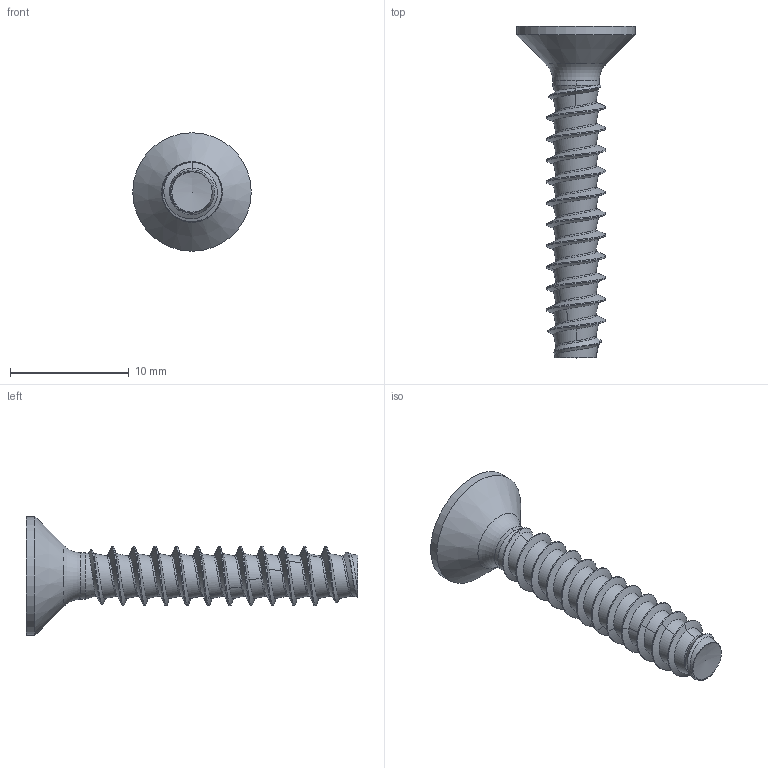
import cadquery as cq
import math


length = 28.0
head_radius = 5.0
rim_thickness = 0.75
neck_radius = 1.97
neck_fillet_radius = 2.0
head_half_angle = math.radians(45)
neck_end_depth = 5.0

core_radius = 1.70
neck_taper_length = 0.9
tip_dish_depth = 0.15

pitch = 1.8
crest_radius = 2.5
first_crest_radius = 1.9
last_crest_radius = 1.74
root_radius = 1.9
root_fade_ratio = 2.0
crest_width = 0.10
head_flank_offset = 0.40
tip_flank_offset = 0.25
root_end_offset = 1.25
buried_radius = 1.3
buried_extension = 0.05

full_end_depth = 25.29

run_in_turns = 1.5
full_turns = 10.25
run_out_turns = 1.58
steps_per_piece = 10


def head_and_core():
    """Turned body: head rim, cone, filleted neck, taper and cylindrical core."""
    fillet_start_radius = neck_radius + neck_fillet_radius * (1 - math.cos(head_half_angle))
    cone_length = (head_radius - fillet_start_radius) / math.tan(head_half_angle)
    fillet_start_depth = rim_thickness + cone_length
    fillet_end_depth = fillet_start_depth + neck_fillet_radius * math.sin(head_half_angle)
    half_arc_angle = head_half_angle / 2
    fillet_middle = (
        neck_radius + neck_fillet_radius * (1 - math.cos(half_arc_angle)),
        -(fillet_end_depth - neck_fillet_radius * math.sin(half_arc_angle)),
    )
    outline = (
        cq.Workplane("ZY")
        .lineTo(head_radius, 0)
        .lineTo(head_radius, -rim_thickness)
        .lineTo(fillet_start_radius, -fillet_start_depth)
        .threePointArc(fillet_middle, (neck_radius, -fillet_end_depth))
        .lineTo(neck_radius, -neck_end_depth)
        .lineTo(core_radius, -(neck_end_depth + neck_taper_length))
        .lineTo(core_radius, -length)
        .lineTo(0, -length)
        .close()
    )
    return outline.revolve(360, (0, 0, 0), (0, 1, 0))


def thread_profile(crest):
    """Axial section of the thread as (offset toward the tip, radius) for a crest radius."""
    height_fraction = (crest - core_radius) / (crest_radius - core_radius)
    root_fraction = min(1, root_fade_ratio * height_fraction)
    root = core_radius + (root_radius - core_radius) * root_fraction
    half_crest = crest_width * height_fraction / 2
    flank_slope = (crest - core_radius) / (head_flank_offset - half_crest)
    root_slope = (root - core_radius) / (root_end_offset - tip_flank_offset)
    head_end = -head_flank_offset - buried_extension
    tip_end = root_end_offset + buried_extension
    return [
        (head_end, buried_radius),
        (head_end, core_radius - buried_extension * flank_slope),
        (-half_crest, crest),
        (half_crest, crest),
        (tip_flank_offset, root),
        (tip_end, core_radius - buried_extension * root_slope),
        (tip_end, buried_radius),
    ]


def thread_section(depth, crest):
    """Profile placed in space, turned by the right-hand helix to its crest depth."""
    angle = 2 * math.pi * (depth - full_end_depth) / pitch
    return [
        cq.Vector(-radius * math.sin(angle), -(depth + offset), radius * math.cos(angle))
        for offset, radius in thread_profile(crest)
    ]


def thread_piece(start_depth, turns, start_crest, end_crest):
    """Solid length of thread whose crest radius changes evenly from start to end."""
    sections = []
    for step in range(steps_per_piece + 1):
        progress = step / steps_per_piece
        depth = start_depth + turns * pitch * progress
        crest = start_crest + (end_crest - start_crest) * progress
        sections.append(thread_section(depth, crest))

    helices = [cq.Edge.makeSpline(list(path)) for path in zip(*sections)]
    next_helices = helices[1:] + helices[:1]
    faces = [cq.Face.makeRuledSurface(a, b) for a, b in zip(helices, next_helices)]
    for end_section in (sections[0], sections[-1]):
        faces.append(cq.Face.makeFromWires(cq.Wire.makePolygon(end_section, close=True)))
    return cq.Solid.makeSolid(cq.Shell.makeShell(faces))


def thread_stretch(start_depth, turns, start_crest, end_crest):
    """Equal thread pieces, each at most one turn long, that meet end to end."""
    piece_count = math.ceil(turns)
    piece_turns = turns / piece_count
    crest_step = (end_crest - start_crest) / piece_count
    pieces = []
    for index in range(piece_count):
        piece_depth = start_depth + index * piece_turns * pitch
        piece_crest = start_crest + index * crest_step
        pieces.append(thread_piece(piece_depth, piece_turns, piece_crest, piece_crest + crest_step))
    return pieces


def thread():
    """Pieces of the run-in, the full-height thread and the run-out, in order from the head."""
    full_start_depth = full_end_depth - full_turns * pitch
    run_in_start_depth = full_start_depth - run_in_turns * pitch
    run_in = thread_stretch(run_in_start_depth, run_in_turns, first_crest_radius, crest_radius)
    full_height = thread_stretch(full_start_depth, full_turns, crest_radius, crest_radius)
    run_out = thread_stretch(full_end_depth, run_out_turns, crest_radius, last_crest_radius)
    return run_in + full_height + run_out


def beyond_tip():
    """Cylinder that trims the thread flush with the tip face."""
    return cq.Workplane("XZ", origin=(0, -length, 0)).circle(head_radius).extrude(2 * pitch)


def tip_dish():
    """Shallow spherical hollow in the tip face, reaching out to the core edge."""
    ball_radius = (core_radius**2 + tip_dish_depth**2) / (2 * tip_dish_depth)
    half_angle = math.asin(core_radius / ball_radius) / 2
    arc_middle = (
        ball_radius * math.sin(half_angle),
        tip_dish_depth - length - ball_radius * (1 - math.cos(half_angle)),
    )
    outline = (
        cq.Workplane("ZY")
        .moveTo(0, -length)
        .lineTo(core_radius, -length)
        .threePointArc(arc_middle, (0, tip_dish_depth - length))
        .close()
    )
    return outline.revolve(360, (0, 0, 0), (0, 1, 0))


screw = head_and_core().val().fuse(*thread())
result = cq.Workplane(screw).cut(beyond_tip(), clean=False).cut(tip_dish(), clean=False)